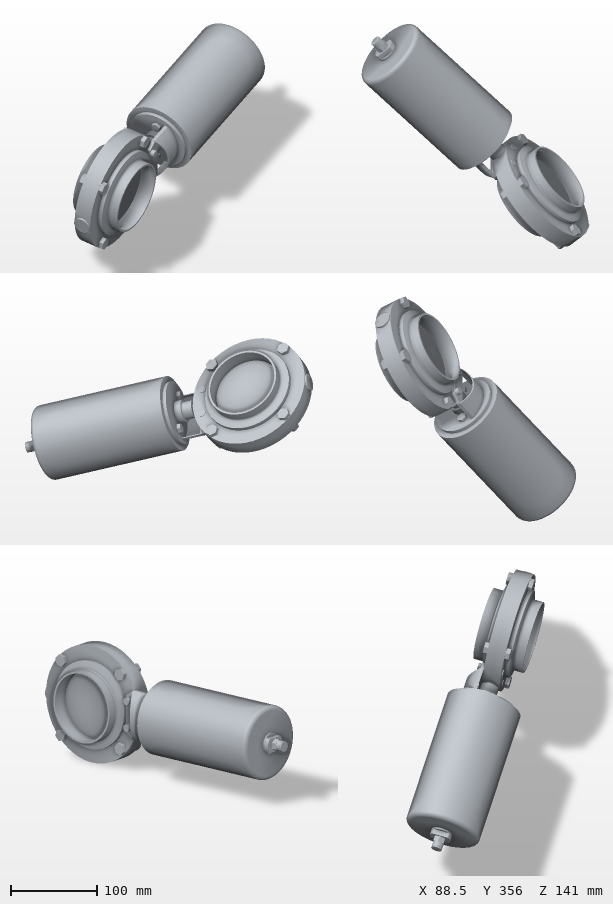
import cadquery as cq
import math


OVERALL_LENGTH = 356.0

FLANGE_RADIUS = 70.5
FLANGE_HALF_WIDTH = 10.5
BORE_RADIUS = 40.4
PIPE_RADIUS = 42.7
PIPE_END = 29.9
HUB_RADIUS = 52.7
HUB_FACE = 15.6
CONE_END = 17.6
NECK_FILLET = 2.0
PIPE_START = CONE_END + NECK_FILLET
CONE_TOP_RADIUS = PIPE_RADIUS + NECK_FILLET

CLAMP_OFFSET = 45.0
CLAMP_RADIUS = CLAMP_OFFSET * math.sqrt(2)
CLAMP_ANGLES = (45, 135, 225, 315)
HEXAGON_TURN = 30
CLAMP_HEAD_CORNERS = 14.8
CLAMP_HEAD_HEIGHT = HUB_FACE - FLANGE_HALF_WIDTH

DISC_HALF_THICKNESS = 11.0
TRUNNION_RADIUS = 10.0
TRUNNION_PROUD = 1.9
STEM_RADIUS = 6.5
TRUNNION_END = -FLANGE_RADIUS - TRUNNION_PROUD

COUPLING_START = 72.8
COUPLING_RADIUS = 10.5
COLLAR_START = 84.7
COLLAR_RADIUS = 13.6
PLATE_START = 93.0
PLATE_RADIUS = 37.25
CYLINDER_START = 97.3
CYLINDER_RADIUS = 44.25
CYLINDER_END = 261.6
CYLINDER_FILLET = 5.0
MOUNT_OFFSET = 22.3
MOUNT_HEAD_CORNERS = 12.0
MOUNT_HEAD_HEIGHT = 4.0

FITTING_RADIUS = 12.6
FITTING_RIM = 2.0
FITTING_END = 269.5
FITTING_HALF_FLATS = 8.4
NUT_END = 276.0
NUT_CORNERS = 14.4
TIP_RADIUS = 6.25
TIP_END = OVERALL_LENGTH + TRUNNION_END
TIP_CAP = 1.2
TIP_GROOVE_WIDTH = 0.8
TIP_GROOVE_DEPTH = 0.3

BRACKET_HALF_WIDTH = 29.6
BRACKET_THICKNESS = 4.0
BRACKET_INNER = FLANGE_HALF_WIDTH
BRACKET_OUTER = BRACKET_INNER + BRACKET_THICKNESS
BRACKET_END = 54.9
BRACKET_TAPER_START = 65.6
BRACKET_END_HALF_WIDTH = 22.0
HOOD_DEPTH = 28.8
HOOD_WALL = 1.2
HOOD_LOW_EDGE = 64.7
HOOD_HIGH_EDGE = 72.8
WINDOW_START = 70.4
SCREW_Y = 58.7
SCREW_Z = 16.1
SCREW_POINTS = [(SCREW_Y, SCREW_Z), (SCREW_Y, -SCREW_Z)]
SCREW_RADIUS = 4.2
SCREW_HEAD_HEIGHT = 4.6
SCREW_TIP_HEIGHT = 0.9


def sketch_along_y(start, z=0.0):
    """Workplane at Y = start that faces +Y, with its first axis along +Z."""
    return cq.Workplane(cq.Plane(origin=(0, start, z), xDir=(0, 0, 1), normal=(0, 1, 0)))


def cylinder_along_y(radius, start, end):
    return sketch_along_y(start).circle(radius).extrude(end - start)


def hexagon_along_y(corners, start, end, z=0.0):
    """Hexagonal prism with two of its corners pointing along +Z and -Z."""
    return sketch_along_y(start, z).polygon(6, corners).extrude(end - start)


def cylinders_along_x(points, radius, start, length):
    return cq.Workplane("YZ", origin=(start, 0, 0)).pushPoints(points).circle(radius).extrude(length)


def add_clamp_heads(half):
    """Add four heads at 45 degrees to the axes, each with a flat facing the centre."""
    head = (
        cq.Workplane("YZ", origin=(FLANGE_HALF_WIDTH, 0, 0))
        .transformed(rotate=(0, 0, HEXAGON_TURN))
        .polygon(6, CLAMP_HEAD_CORNERS)
        .extrude(CLAMP_HEAD_HEIGHT)
        .translate((0, CLAMP_RADIUS, 0))
    )
    for angle in CLAMP_ANGLES:
        half = half.union(head.rotate((0, 0, 0), (1, 0, 0), angle))
    return half


def make_plain_half():
    """The half on the +X side, revolved about the pipe axis and bored for the stem."""
    half = (
        cq.Workplane("XZ")
        .moveTo(0, BORE_RADIUS)
        .lineTo(0, FLANGE_RADIUS)
        .lineTo(FLANGE_HALF_WIDTH, FLANGE_RADIUS)
        .lineTo(FLANGE_HALF_WIDTH, HUB_RADIUS)
        .lineTo(HUB_FACE, HUB_RADIUS)
        .lineTo(CONE_END, CONE_TOP_RADIUS)
        .radiusArc((PIPE_START, PIPE_RADIUS), -NECK_FILLET)
        .lineTo(PIPE_END, PIPE_RADIUS)
        .lineTo(PIPE_END, BORE_RADIUS)
        .close()
        .revolve(360, (0, 0, 0), (1, 0, 0))
    )
    half = add_clamp_heads(half)
    half = half.cut(cylinder_along_y(TRUNNION_RADIUS, TRUNNION_END, 0))
    return half.cut(cylinder_along_y(STEM_RADIUS, 0, COUPLING_START))


def make_left_half():
    half = make_plain_half().mirror("YZ")
    tips = cylinders_along_x(SCREW_POINTS, SCREW_RADIUS, -FLANGE_HALF_WIDTH, -SCREW_TIP_HEIGHT)
    return half.union(tips)


def make_disc():
    disc = cq.Workplane("YZ").circle(BORE_RADIUS).extrude(DISC_HALF_THICKNESS, both=True)
    disc = disc.union(cylinder_along_y(TRUNNION_RADIUS, TRUNNION_END, 0))
    return disc.union(cylinder_along_y(STEM_RADIUS, 0, COUPLING_START))


def make_fitting():
    rim_end = CYLINDER_END + FITTING_RIM
    flats = cq.Workplane("XY").box(2 * FITTING_RADIUS, 2 * FITTING_END, 2 * FITTING_HALF_FLATS)
    fitting = cylinder_along_y(FITTING_RADIUS, rim_end, FITTING_END).intersect(flats)
    fitting = fitting.union(cylinder_along_y(FITTING_RADIUS, CYLINDER_END, rim_end))
    fitting = fitting.union(hexagon_along_y(NUT_CORNERS, FITTING_END, NUT_END))
    groove_end = TIP_END - TIP_CAP
    groove_start = groove_end - TIP_GROOVE_WIDTH
    groove_radius = TIP_RADIUS - TIP_GROOVE_DEPTH
    fitting = fitting.union(cylinder_along_y(TIP_RADIUS, NUT_END, groove_start))
    fitting = fitting.union(cylinder_along_y(groove_radius, groove_start, groove_end))
    return fitting.union(cylinder_along_y(TIP_RADIUS, groove_end, TIP_END))


def make_actuator():
    actuator = cylinder_along_y(CYLINDER_RADIUS, CYLINDER_START, CYLINDER_END)
    actuator = actuator.faces(">Y").edges().fillet(CYLINDER_FILLET)
    actuator = actuator.union(cylinder_along_y(PLATE_RADIUS, PLATE_START, CYLINDER_START))
    actuator = actuator.union(cylinder_along_y(COLLAR_RADIUS, COLLAR_START, PLATE_START))
    actuator = actuator.union(cylinder_along_y(COUPLING_RADIUS, COUPLING_START, COLLAR_START))
    for z in (-MOUNT_OFFSET, MOUNT_OFFSET):
        head_start = PLATE_START - MOUNT_HEAD_HEIGHT
        actuator = actuator.union(hexagon_along_y(MOUNT_HEAD_CORNERS, head_start, PLATE_START, z))
    return actuator.union(make_fitting())


def hood_section(inset):
    """D-shaped prism of the hood, up to the actuator plate, shrunk by the inset."""
    half_width = BRACKET_HALF_WIDTH - inset
    return (
        cq.Workplane("XZ", origin=(0, PLATE_START, 0))
        .moveTo(BRACKET_INNER, -half_width)
        .lineTo(BRACKET_OUTER, -half_width)
        .threePointArc((HOOD_DEPTH - inset, 0), (BRACKET_OUTER, half_width))
        .lineTo(BRACKET_INNER, half_width)
        .close()
        .extrude(PLATE_START - HOOD_LOW_EDGE)
    )


def make_bracket():
    plate = (
        cq.Workplane("YZ", origin=(BRACKET_INNER, 0, 0))
        .moveTo(PLATE_START, -BRACKET_HALF_WIDTH)
        .lineTo(PLATE_START, BRACKET_HALF_WIDTH)
        .lineTo(BRACKET_TAPER_START, BRACKET_HALF_WIDTH)
        .lineTo(BRACKET_END, BRACKET_END_HALF_WIDTH)
        .lineTo(BRACKET_END, -BRACKET_END_HALF_WIDTH)
        .lineTo(BRACKET_TAPER_START, -BRACKET_HALF_WIDTH)
        .close()
        .extrude(BRACKET_THICKNESS)
    )
    low_corner = (
        cq.Workplane("XY")
        .moveTo(BRACKET_OUTER, HOOD_LOW_EDGE)
        .lineTo(HOOD_DEPTH, HOOD_HIGH_EDGE)
        .lineTo(HOOD_DEPTH, HOOD_LOW_EDGE)
        .close()
        .extrude(BRACKET_HALF_WIDTH, both=True)
    )
    cavity = hood_section(HOOD_WALL)
    plate_below_window = (
        cq.Workplane("XY")
        .moveTo(BRACKET_INNER, HOOD_LOW_EDGE)
        .rect(BRACKET_THICKNESS, WINDOW_START - HOOD_LOW_EDGE, centered=False)
        .extrude(BRACKET_HALF_WIDTH, both=True)
    )
    bracket = plate.union(hood_section(0)).cut(low_corner)
    bracket = bracket.cut(cavity.cut(plate_below_window))
    heads = cylinders_along_x(SCREW_POINTS, SCREW_RADIUS, BRACKET_OUTER, SCREW_HEAD_HEIGHT)
    return bracket.union(heads)


right_half = make_plain_half()
left_half = make_left_half()
disc = make_disc()
actuator = make_actuator()
bracket = make_bracket()

result = cq.Compound.makeCompound(
    [right_half.val(), left_half.val(), disc.val(), actuator.val(), bracket.val()]
)